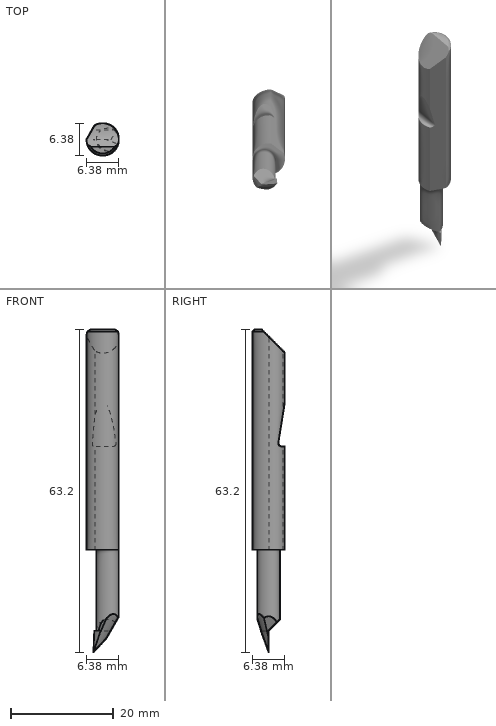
import cadquery as cq
import math

total_length = 63.15
shank_radius = 3.19
shoulder_height = 20.0
end_chamfer = 0.45
flat_angle = 150.0
flat_distance = shank_radius * math.cos(math.radians(30))

slant_start_y = -1.4
notch_bottom = 40.3
notch_top = 48.95
notch_depth = 1.4
notch_fillet = 0.6

neck_radius = 2.24
neck_x = shank_radius - neck_radius
neck_bottom = 4.2

tip_x = -1.8
plate_top_x = -1.675
side_relief_x = -0.45
side_relief_y = -1.485
clearance_rise_x = 1.06
clearance_rise_y = 1.74
back_relief_x = 0.7
back_relief_slope = 1.75
heel_normal = (-0.17, -0.98, -0.24)
back_relief_z = clearance_rise_x * (back_relief_x - tip_x)

cutter_size = 3 * shank_radius
cutter_length = 2 * total_length


def prism_along_x(outline):
    """Extrude a (Y, Z) outline across the full width of the shank."""
    return cq.Workplane("YZ").polyline(outline).close().extrude(cutter_size, both=True)


def half_space(origin, normal):
    """Large block on the side of a plane that the normal points to."""
    plane = cq.Plane(origin=origin, normal=normal)
    return cq.Workplane(plane).rect(cutter_length, cutter_length).extrude(cutter_length)


def make_shank():
    shank = (
        cq.Workplane("XY", origin=(0, 0, shoulder_height))
        .circle(shank_radius)
        .extrude(total_length - shoulder_height)
        .faces(">Z")
        .chamfer(end_chamfer)
    )
    angle = math.radians(flat_angle)
    flat_normal = (math.cos(angle), math.sin(angle), 0)
    flat_origin = (flat_distance * flat_normal[0], flat_distance * flat_normal[1], 0)
    shank = shank.cut(half_space(flat_origin, flat_normal))

    shank = shank.cut(half_space((0, slant_start_y, total_length), (0, 1, 1)))

    notch = prism_along_x([
        (shank_radius, notch_top),
        (shank_radius - notch_depth, notch_bottom),
        (cutter_size, notch_bottom),
        (cutter_size, notch_top),
    ]).edges("|X and <Y").fillet(notch_fillet)
    return shank.cut(notch)


def make_neck():
    neck = (
        cq.Workplane("XY", origin=(neck_x, 0, 0))
        .circle(neck_radius)
        .extrude(shoulder_height)
    )
    bevel = prism_along_x([
        (0, -cutter_size),
        (0, neck_bottom),
        (cutter_size, neck_bottom + cutter_size),
        (cutter_size, -cutter_size),
    ])
    neck = neck.cut(bevel)
    return neck.cut(make_plate_side())


def make_plate_side():
    """Region below the neck end that lies outside the side relief of the plate."""
    return (
        half_space((plate_top_x, 0, neck_bottom), side_relief_normal())
        .intersect(half_space((0, 0, neck_bottom), (0, 0, -1)))
    )


def side_relief_normal():
    """Outward normal of the plane through the tip and the plate's upper side edge."""
    upper_edge = cq.Vector(side_relief_x - plate_top_x, side_relief_y, 0)
    front_edge = cq.Vector(plate_top_x - tip_x, 0, neck_bottom)
    return upper_edge.cross(front_edge).toTuple()


def make_plate():
    """Plate behind the cutting face, standing out to the left of the neck."""
    plate = (
        cq.Workplane("XY")
        .polyline([
            (tip_x, 0),
            (neck_x, 0),
            (neck_x, -neck_radius),
            (tip_x, -neck_radius),
        ])
        .close()
        .extrude(neck_bottom)
    )
    return plate.cut(make_plate_side())


def cut_reliefs(body):
    clearance = half_space((tip_x, 0, 0), (clearance_rise_x, -clearance_rise_y, -1))
    back_relief = half_space((back_relief_x, 0, back_relief_z), (back_relief_slope, 0, -1))
    heel = (
        half_space((side_relief_x, side_relief_y, neck_bottom), heel_normal)
        .intersect(half_space((0, 0, neck_bottom), (0, 0, 1)))
    )
    return body.cut(clearance).cut(back_relief).cut(heel)


result = make_shank().union(cut_reliefs(make_neck().union(make_plate())))